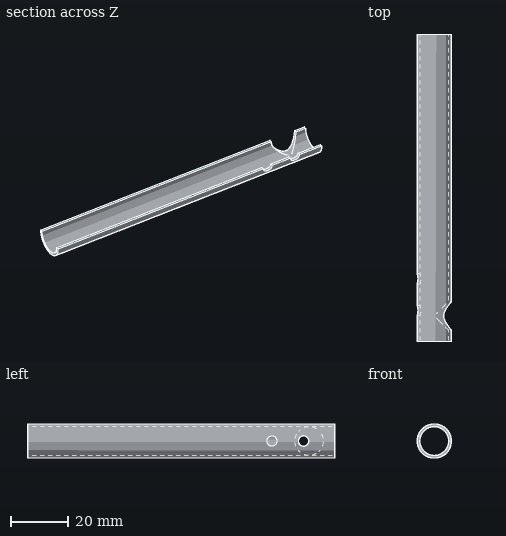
import cadquery as cq

length = 107.0
outer_diameter = 12.0
bore_diameter = 10.0

small_hole_diameter = 3.5
small_hole_distances = (10.9, 21.9)

large_hole_diameter = bore_diameter
large_hole_distance = 9.0

outer_radius = outer_diameter / 2
front_end = -length / 2


def make_tube():
    profile = cq.Workplane("XZ", origin=(0, front_end, 0)).circle(outer_radius).circle(bore_diameter / 2)
    return profile.extrude(-length)


def make_side_cutter(diameter, distance_from_end, side):
    """Cylinder from the tube axis outward along X; side is +1 or -1."""
    plane = cq.Workplane("YZ").center(front_end + distance_from_end, 0)
    return plane.circle(diameter / 2).extrude(side * outer_diameter)


result = make_tube().cut(make_side_cutter(large_hole_diameter, large_hole_distance, 1))
for distance in small_hole_distances:
    result = result.cut(make_side_cutter(small_hole_diameter, distance, -1))